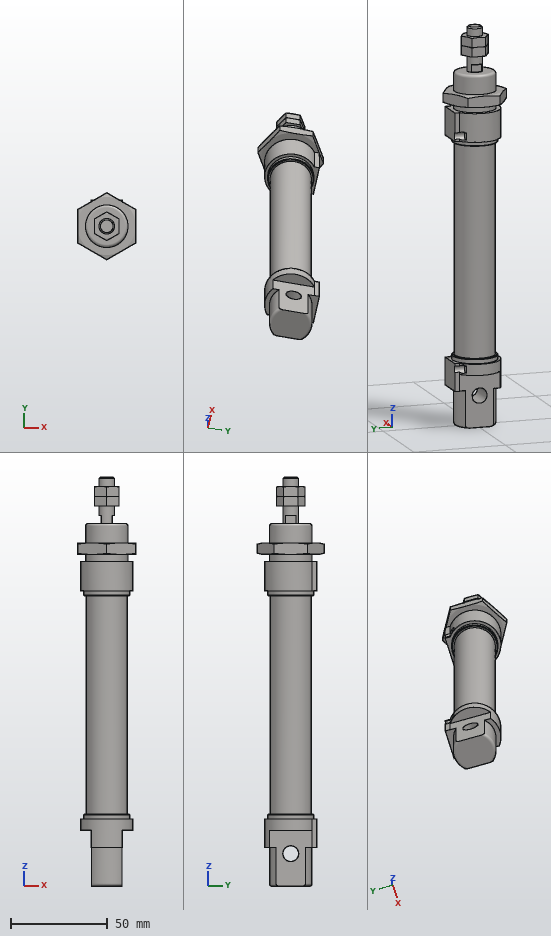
import cadquery as cq
import math

overall_height = 212.0

rod_diameter = 8.0
rod_tip_diameter = 6.5
rod_thread_length = 20.0
rod_flats_width = 5.7

rod_nut_flats = 13.0
rod_nut_height = 5.0
rod_nut_count = 2
rod_nut_top = 207.1

mount_nut_flats = 30.0
mount_nut_height = 6.0
mount_nut_bottom = 172.0
hexagon_sides = 6
nut_chamfer_angle = 15.0

neck_diameter = 22.0
cap_diameter = 27.1
collar_diameter = 24.0
barrel_diameter = 21.5
end_fillet = 1.5
collar_chamfer = 0.5

cap_bottom_rear = 20.1
cap_top_rear = 35.0
collar_top_rear = 37.5
collar_bottom_front = 150.5
cap_bottom_front = 153.0
cap_top_front = 168.3
neck_top = 188.0

clevis_width = 16.0
clevis_flats_top = 29.0
clevis_hole_diameter = 8.0
clevis_hole_height = 17.0

pad_width = 16.1
pad_reach = cap_diameter / 2
side_hole_diameter = 4.2
side_hole_x = -9.3
side_hole_depth = 5.5
side_hole_inset = 3.0
side_hole_heights = (cap_top_rear - side_hole_inset, cap_bottom_front + side_hole_inset)


def cylinder(diameter, bottom, top):
    return cq.Workplane("XY").workplane(offset=bottom).circle(diameter / 2).extrude(top - bottom)


def chamfer_cut(flats, corners, face_height, direction):
    """Ring that bevels the corners outside a circle as wide as the flats; direction is the face normal."""
    inner = flats / 2
    outer = inner + (corners - flats)
    drop = (outer - inner) * math.tan(math.radians(nut_chamfer_angle))
    return (
        cq.Workplane("XZ")
        .moveTo(inner, face_height)
        .lineTo(outer, face_height)
        .lineTo(outer, face_height - direction * drop)
        .close()
        .revolve(360, (0, 0, 0), (0, 1, 0))
    )


def hex_nut(flats, bore, bottom, height, chamfer_bottom):
    """Hexagonal nut with two corners on the Y axis; its top face is always chamfered."""
    half_sector = 180 / hexagon_sides
    corners = flats / math.cos(math.radians(half_sector))
    blank = cq.Workplane("XY").workplane(offset=bottom).polygon(hexagon_sides, corners).extrude(height)
    nut = blank.rotate((0, 0, 0), (0, 0, 1), half_sector)
    nut = nut.cut(cylinder(bore, bottom, bottom + height))
    nut = nut.cut(chamfer_cut(flats, corners, bottom + height, 1))
    if chamfer_bottom:
        nut = nut.cut(chamfer_cut(flats, corners, bottom, -1))
    return nut


def port_pad(bottom, top):
    """Flat-sided pad that squares off the +Y side of a round cap."""
    pad_start = math.sqrt((cap_diameter / 2) ** 2 - (pad_width / 2) ** 2)
    return (
        cq.Workplane("XY")
        .workplane(offset=bottom)
        .center(0, (pad_start + pad_reach) / 2)
        .rect(pad_width, pad_reach - pad_start)
        .extrude(top - bottom)
    )


def side_hole(height):
    """Blind hole along Y that opens through the pad corner and the -X side of a cap."""
    return (
        cq.Workplane("XZ", origin=(side_hole_x, pad_reach, height))
        .circle(side_hole_diameter / 2)
        .extrude(side_hole_depth)
    )


def clevis_side_cut(side):
    """Block outside one clevis flat; side is +1 or -1 along X."""
    depth = cap_diameter
    return (
        cq.Workplane("XY")
        .center(side * (clevis_width + depth) / 2, 0)
        .rect(depth, 2 * cap_diameter)
        .extrude(clevis_flats_top)
    )


def make_housing():
    body = cylinder(neck_diameter, 0, cap_bottom_rear).faces("<Z").edges().fillet(end_fillet)
    neck = cylinder(neck_diameter, cap_top_front, neck_top).faces(">Z").edges().fillet(end_fillet)
    body = body.union(neck)
    body = body.union(cylinder(cap_diameter, cap_bottom_rear, cap_top_rear))
    body = body.union(cylinder(cap_diameter, cap_bottom_front, cap_top_front))
    rear_collar = cylinder(collar_diameter, cap_top_rear, collar_top_rear)
    body = body.union(rear_collar.faces(">Z").edges().chamfer(collar_chamfer))
    front_collar = cylinder(collar_diameter, collar_bottom_front, cap_bottom_front)
    body = body.union(front_collar.faces("<Z").edges().chamfer(collar_chamfer))
    body = body.union(cylinder(barrel_diameter, collar_top_rear, collar_bottom_front))

    for side in (-1, 1):
        body = body.cut(clevis_side_cut(side))
    pin_hole = (
        cq.Workplane("YZ", origin=(-cap_diameter, 0, clevis_hole_height))
        .circle(clevis_hole_diameter / 2)
        .extrude(2 * cap_diameter)
    )
    body = body.cut(pin_hole)

    body = body.union(port_pad(cap_bottom_rear, cap_top_rear))
    body = body.union(port_pad(cap_bottom_front, cap_top_front))
    for height in side_hole_heights:
        body = body.cut(side_hole(height))
    return body.cut(cylinder(rod_diameter, cap_bottom_front, neck_top))


def make_piston_rod():
    tip_chamfer = (rod_diameter - rod_tip_diameter) / 2
    rod = cylinder(rod_diameter, cap_bottom_front, overall_height).faces(">Z").edges().chamfer(tip_chamfer)
    shoulder = overall_height - rod_thread_length
    flats_height = shoulder - neck_top
    for side in (-1, 1):
        flat_cut = (
            cq.Workplane("XY")
            .workplane(offset=neck_top)
            .center(side * (rod_flats_width + rod_diameter) / 2, 0)
            .rect(rod_diameter, 2 * rod_diameter)
            .extrude(flats_height)
        )
        rod = rod.cut(flat_cut)
    return rod


def make_mount_nut():
    return hex_nut(mount_nut_flats, neck_diameter, mount_nut_bottom, mount_nut_height, True)


def make_rod_nut(index):
    """Nut number index of the stack, counted downwards."""
    bottom = rod_nut_top - (index + 1) * rod_nut_height
    return hex_nut(rod_nut_flats, rod_diameter, bottom, rod_nut_height, False)


housing = make_housing()
piston_rod = make_piston_rod()
mount_nut = make_mount_nut()
rod_nuts = []
for nut_index in range(rod_nut_count):
    rod_nuts.append(make_rod_nut(nut_index))

result = cq.Compound.makeCompound(
    [housing.val(), piston_rod.val(), mount_nut.val(), *[nut.val() for nut in rod_nuts]]
)